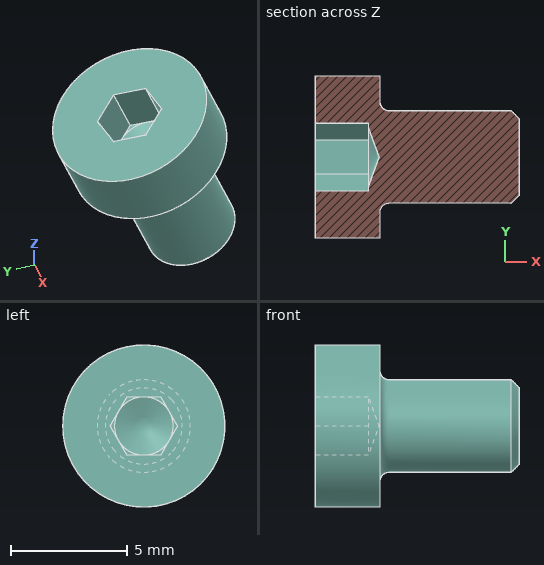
import cadquery as cq
import math

total_length = 8.8
head_diameter = 7.0
head_length = 2.8
shank_diameter = 4.0
neck_fillet = 0.39
tip_chamfer = 0.35
socket_across_flats = 2.52
socket_depth = 2.3
socket_cone_angle = 140.0

head_radius = head_diameter / 2
shank_radius = shank_diameter / 2
head_face_x = -total_length / 2
shoulder_x = head_face_x + head_length
tip_x = total_length / 2
socket_radius = socket_across_flats / 2
socket_corner_diameter = socket_across_flats / math.cos(math.radians(30))
cone_depth = socket_radius / math.tan(math.radians(socket_cone_angle / 2))


def make_body():
    """Revolve the head, filleted neck and chamfered shank about X."""
    arc_offset = neck_fillet * (1 - math.sqrt(0.5))
    return (
        cq.Workplane("XY")
        .moveTo(head_face_x, 0)
        .lineTo(head_face_x, head_radius)
        .lineTo(shoulder_x, head_radius)
        .lineTo(shoulder_x, shank_radius + neck_fillet)
        .threePointArc(
            (shoulder_x + arc_offset, shank_radius + arc_offset),
            (shoulder_x + neck_fillet, shank_radius),
        )
        .lineTo(tip_x - tip_chamfer, shank_radius)
        .lineTo(tip_x, shank_radius - tip_chamfer)
        .lineTo(tip_x, 0)
        .close()
        .revolve(360, (0, 0, 0), (1, 0, 0))
    )


def make_socket():
    """Hexagonal socket with flats facing +Z and -Z and a conical drill point."""
    hexagon = (
        cq.Workplane("YZ", origin=(head_face_x, 0, 0))
        .polygon(6, socket_corner_diameter)
        .extrude(socket_depth)
    )
    floor_x = head_face_x + socket_depth
    drill_point = cq.Workplane(
        cq.Solid.makeCone(socket_radius, 0, cone_depth, cq.Vector(floor_x, 0, 0), cq.Vector(1, 0, 0))
    )
    return hexagon.union(drill_point)


result = make_body().cut(make_socket())